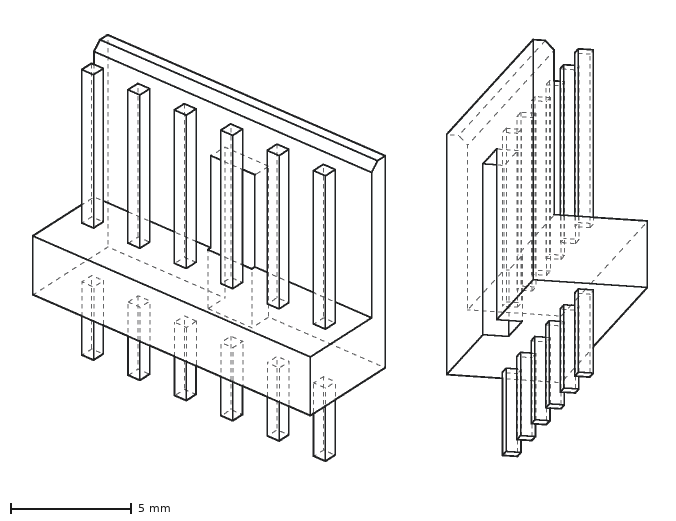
import cadquery as cq

length = 15.0
depth = 4.9
base_height = 2.88
wall_height = 10.4
wall_thickness = 0.9
chamfer_depth = 0.39
chamfer_height = 0.39

window_width = 2.37
window_top = 7.4
window_depth = 1.1

pin_count = 6
pin_pitch = 2.5
pin_side = 0.65
pin_y = 2.42
pin_tail = 3.6

wall_front = depth - wall_thickness


def make_housing():
    """L-shaped section, chamfered at the top front edge of the wall, run along X."""
    section = [
        (0, 0),
        (depth, 0),
        (depth, wall_height),
        (wall_front + chamfer_depth, wall_height),
        (wall_front, wall_height - chamfer_height),
        (wall_front, base_height),
        (0, base_height),
    ]
    return cq.Workplane("YZ").polyline(section).close().extrude(length / 2, both=True)


def make_window():
    """Opening from the rear face, slightly deeper than the wall."""
    return (
        cq.Workplane("XY")
        .box(window_width, window_depth, window_top, centered=(True, False, False))
        .translate((0, depth - window_depth, 0))
    )


def make_pins():
    """Pins pass through the base and end level with the top of the wall."""
    return (
        cq.Workplane("XY", origin=(0, pin_y, -pin_tail))
        .rarray(pin_pitch, 0.15, pin_count, 1)
        .rect(pin_side, pin_side)
        .extrude(pin_tail + wall_height)
    )


result = make_housing().cut(make_window()).union(make_pins())